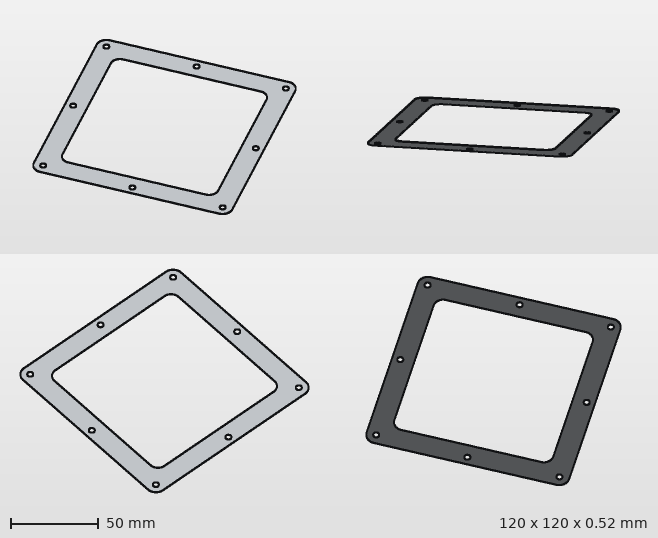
import cadquery as cq

outer_side = 120.0
thickness = 0.52
outer_corner_radius = 6.0
border_width = 13.0
window_corner_radius = 5.5
hole_diameter = 3.5
corner_hole_offset = 54.2
side_hole_offset = 55.2

window_side = outer_side - 2 * border_width


def rounded_square(side, corner_radius):
    """Square plate with its four upright edges rounded."""
    plate = cq.Workplane("XY").box(side, side, thickness, centered=(True, True, False))
    return plate.edges("|Z").fillet(corner_radius)


frame = rounded_square(outer_side, outer_corner_radius)
frame = frame.cut(rounded_square(window_side, window_corner_radius))

hole_centres = []
for sign in (-1, 1):
    hole_centres.append((sign * corner_hole_offset, corner_hole_offset))
    hole_centres.append((sign * corner_hole_offset, -corner_hole_offset))
    hole_centres.append((sign * side_hole_offset, 0))
    hole_centres.append((0, sign * side_hole_offset))

holes = cq.Workplane("XY").pushPoints(hole_centres).circle(hole_diameter / 2).extrude(thickness)

result = frame.cut(holes)